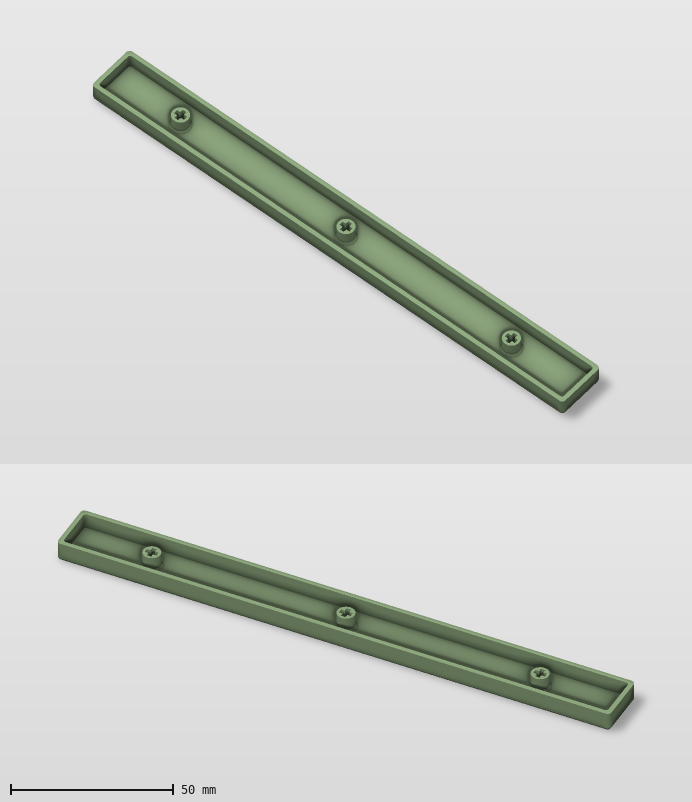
import cadquery as cq

length = 189.5
width = 18.0
height = 6.8
wall = 1.5
floor_thickness = 1.5
outer_radius = 1.3
inner_corner_radius = 1.0

stem_recess = 0.2
stem_diameter = 5.9
stem_top = height - stem_recess
stem_spacing = 66.5
foot_size = 0.8
cross_length = 4.0
cross_slot_width = 1.5
stem_centers = [(-stem_spacing, 0), (0, 0), (stem_spacing, 0)]


def make_shell():
    """Rounded box with a pocket that leaves the walls and the floor."""
    body = cq.Workplane("XY").box(length, width, height, centered=(True, True, False))
    body = body.edges("|Z or <Z").fillet(outer_radius)
    pocket = (
        cq.Workplane("XY")
        .workplane(offset=floor_thickness)
        .rect(length - 2 * wall, width - 2 * wall)
        .extrude(height)
        .edges("|Z")
        .fillet(inner_corner_radius)
    )
    return body.cut(pocket)


def make_stem():
    """Round post with a conical foot and a cross socket down to the floor."""
    stem_radius = stem_diameter / 2
    stem = (
        cq.Workplane("XZ")
        .moveTo(0, 0)
        .lineTo(stem_radius + foot_size, 0)
        .lineTo(stem_radius + foot_size, floor_thickness)
        .lineTo(stem_radius, floor_thickness + foot_size)
        .lineTo(stem_radius, stem_top)
        .lineTo(0, stem_top)
        .close()
        .revolve(360, (0, 0, 0), (0, 1, 0))
    )
    socket = cq.Workplane("XY").workplane(offset=floor_thickness)
    along_x = socket.rect(cross_length, cross_slot_width).extrude(height)
    along_y = socket.rect(cross_slot_width, cross_length).extrude(height)
    return stem.cut(along_x).cut(along_y)


result = make_shell()
for center_x, center_y in stem_centers:
    result = result.union(make_stem().translate((center_x, center_y, 0)))